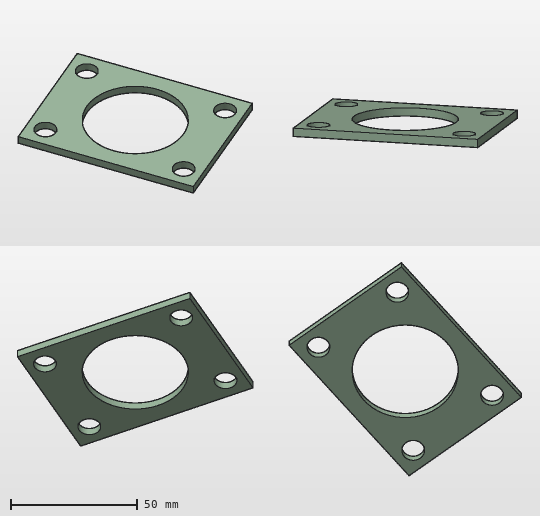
import cadquery as cq

plate_length = 76.0
plate_width = 57.0
plate_thickness = 3.4

bore_diameter = 42.0

mount_hole_diameter = 9.0
mount_spacing_x = 60.0
mount_spacing_y = 40.0


def make_plate():
    """Rectangular plate centred on the Z axis, resting on Z = 0."""
    return cq.Workplane("XY").box(
        plate_length, plate_width, plate_thickness, centered=(True, True, False)
    )


def cut_bore(body):
    """Large round opening through the middle of the plate."""
    return body.faces(">Z").workplane(origin=(0, 0)).hole(bore_diameter)


def cut_mount_holes(body):
    """Four through holes on a rectangular pattern about the centre."""
    return (
        body.faces(">Z")
        .workplane(origin=(0, 0))
        .rarray(mount_spacing_x, mount_spacing_y, 2, 2)
        .hole(mount_hole_diameter)
    )


result = cut_mount_holes(cut_bore(make_plate()))